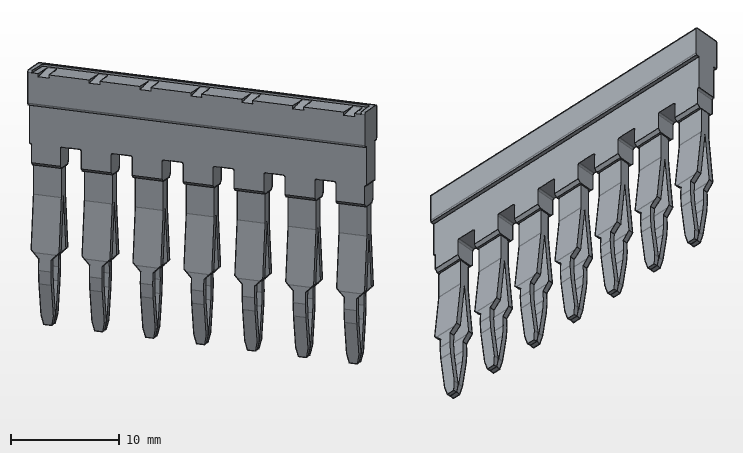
import cadquery as cq


PIN_COUNT = 7
PIN_PITCH = 5.1
PIN_CENTRES = [(i - (PIN_COUNT - 1) / 2) * PIN_PITCH for i in range(PIN_COUNT)]

LENGTH = 33.8
HEAD_WIDTH = 2.8
HEAD_DEPTH = 3.38
HEAD_TOP_FILLET = 0.2
HEAD_BEVEL_HEIGHT = 0.2
HEAD_BEVEL_INSET = 0.055
SKIRT_WIDTH = 2.0
LEG_WIDTH = 3.0
LEG_TOP_DEPTH = 7.15
LEG_BOTTOM_DEPTH = 9.33
LEG_CHAMFER = 0.3
LEG_END_INSET = 0.2
LEG_ROOT_FILLET = 0.17

RECESS_DEPTH = 0.2
RECESS_BACK_Y = 0.88
RECESS_BACK_HALF = 16.4
RECESS_FRONT_HALF = 16.5
RECESS_CORNER_FILLET = 0.15
NOTCH_DEPTH = 0.5
NOTCH_BACK_Y = 0.57
NOTCH_BACK_WIDTH = 0.95
NOTCH_FRONT_WIDTH = 1.08

STRIP_THICKNESS = 0.5
BLADE_WIDTH = 2.8
PRONG_WIDTH = 1.25
TIP_WIDTH = 0.8
SPLIT_DEPTH = 12.2
SHOULDER_DEPTH = 17.4
SHOULDER_DROP = (BLADE_WIDTH - PRONG_WIDTH) / 2
TIP_TAPER_DEPTH = 23.75
PIN_BOTTOM_DEPTH = 24.7
BENDS = [(17.65, 1.08), (19.3, 1.15), (20.62, 1.05)]
TIP_HALF_THICKNESS = 0.4
TIP_END_RISE = 0.07
TIP_HALF_GAP = 0.007


def mirrored(half_outline):
    """Close a right-hand half outline by reflecting it in the vertical axis."""
    return half_outline + [(-u, v) for u, v in reversed(half_outline)]


def prism_along_x(points):
    """Extrude a (Y, Z) outline over the full housing length."""
    return cq.Workplane("YZ").polyline(points).close().extrude(LENGTH / 2, both=True)


def housing_blank():
    """Constant cross-section: wide head with rounded top edges, narrower skirt, chamfered bottom."""
    head = HEAD_WIDTH / 2
    skirt = SKIRT_WIDTH / 2
    blank = prism_along_x(mirrored([
        (head, 0),
        (head, HEAD_BEVEL_HEIGHT - HEAD_DEPTH),
        (head - HEAD_BEVEL_INSET, -HEAD_DEPTH),
        (skirt, -HEAD_DEPTH),
        (skirt, LEG_CHAMFER - LEG_BOTTOM_DEPTH),
        (skirt - LEG_CHAMFER, -LEG_BOTTOM_DEPTH),
    ]))
    return blank.faces(">Z").edges("|X").fillet(HEAD_TOP_FILLET)


def gap_cutter(left, right, rounded):
    """Opening beside a leg, from the leg roots down, with the selected root edges rounded."""
    height = LEG_BOTTOM_DEPTH - LEG_TOP_DEPTH
    return (
        cq.Workplane("XY")
        .box(right - left, HEAD_WIDTH, height, centered=(False, True, False))
        .edges(rounded)
        .fillet(LEG_ROOT_FILLET)
        .translate((left, 0, -LEG_BOTTOM_DEPTH))
    )


def cut_leg_gaps(body):
    """Separate the legs and set the two end legs back from the housing ends."""
    for centre in PIN_CENTRES[:-1]:
        body = body.cut(gap_cutter(centre + LEG_WIDTH / 2, centre + PIN_PITCH - LEG_WIDTH / 2, "|Y and >Z"))
    end = LENGTH / 2
    body = body.cut(gap_cutter(-end, LEG_END_INSET - end, "|Y and >Z and >X"))
    return body.cut(gap_cutter(end - LEG_END_INSET, end, "|Y and >Z and <X"))


def tapered_pocket(centre, back_half, front_half, back_y, depth):
    """Pocket from the top, open at the front face and slightly wider there."""
    front_y = -HEAD_WIDTH / 2
    return (
        cq.Workplane("XY")
        .polyline([
            (centre - front_half, front_y),
            (centre + front_half, front_y),
            (centre + back_half, back_y),
            (centre - back_half, back_y),
        ])
        .close()
        .extrude(-depth)
    )


def cut_top_recess(body):
    """Shallow recess along the top, leaving a rim at the back and both ends."""
    recess = tapered_pocket(0, RECESS_BACK_HALF, RECESS_FRONT_HALF, RECESS_BACK_Y, RECESS_DEPTH)
    recess_corners = recess.faces(">Y").edges("<X or >X")
    return body.cut(recess_corners.fillet(RECESS_CORNER_FILLET))


def cut_notches(body):
    """Notches in the recess floor that deepen toward the front face."""
    front_y = -HEAD_WIDTH / 2
    wedge = prism_along_x([
        (NOTCH_BACK_Y, -RECESS_DEPTH),
        (front_y, -RECESS_DEPTH),
        (front_y, -NOTCH_DEPTH),
    ])
    for centre in PIN_CENTRES:
        pocket = tapered_pocket(
            centre, NOTCH_BACK_WIDTH / 2, NOTCH_FRONT_WIDTH / 2, NOTCH_BACK_Y, NOTCH_DEPTH
        )
        body = body.cut(pocket.intersect(wedge))
    return body


def make_housing():
    return cut_notches(cut_top_recess(cut_leg_gaps(housing_blank())))


def pin_side_profile():
    """Shank and bowed strips in (Y, Z), with the long opening between the strips."""
    last_bend_depth, last_bend_half = BENDS[-1]
    outer = [(STRIP_THICKNESS, -LEG_BOTTOM_DEPTH), (STRIP_THICKNESS, -SPLIT_DEPTH)]
    outer += [(half, -depth) for depth, half in BENDS]
    outer += [(TIP_HALF_THICKNESS, -PIN_BOTTOM_DEPTH)]

    closing_slope = (PIN_BOTTOM_DEPTH - last_bend_depth) / (last_bend_half - TIP_HALF_THICKNESS)
    closed_depth = last_bend_depth + closing_slope * (last_bend_half - STRIP_THICKNESS - TIP_HALF_GAP)
    inner = [(TIP_HALF_GAP, TIP_END_RISE - PIN_BOTTOM_DEPTH)]
    inner += [(TIP_HALF_GAP, -closed_depth)]
    inner += [(half - STRIP_THICKNESS, -depth) for depth, half in reversed(BENDS)]
    inner += [(0, -SPLIT_DEPTH)]

    right_side = outer + inner
    left_side = [(-y, z) for y, z in reversed(right_side[:-1])]
    return prism_along_x(right_side + left_side)


def pin_front_outline():
    """Wide blade, 45-degree shoulders, narrow prong and tapered tip in (X, Z)."""
    outline = mirrored([
        (BLADE_WIDTH / 2, -LEG_BOTTOM_DEPTH),
        (BLADE_WIDTH / 2, -SHOULDER_DEPTH),
        (PRONG_WIDTH / 2, -SHOULDER_DEPTH - SHOULDER_DROP),
        (PRONG_WIDTH / 2, -TIP_TAPER_DEPTH),
        (TIP_WIDTH / 2, -PIN_BOTTOM_DEPTH),
    ])
    return cq.Workplane("XZ").polyline(outline).close().extrude(HEAD_WIDTH / 2, both=True)


def make_pin(centre):
    return pin_side_profile().intersect(pin_front_outline()).translate((centre, 0, 0))


housing = make_housing()
pins = [make_pin(centre) for centre in PIN_CENTRES]

result = cq.Compound.makeCompound([housing.solids().val(), *[pin.solids().val() for pin in pins]])